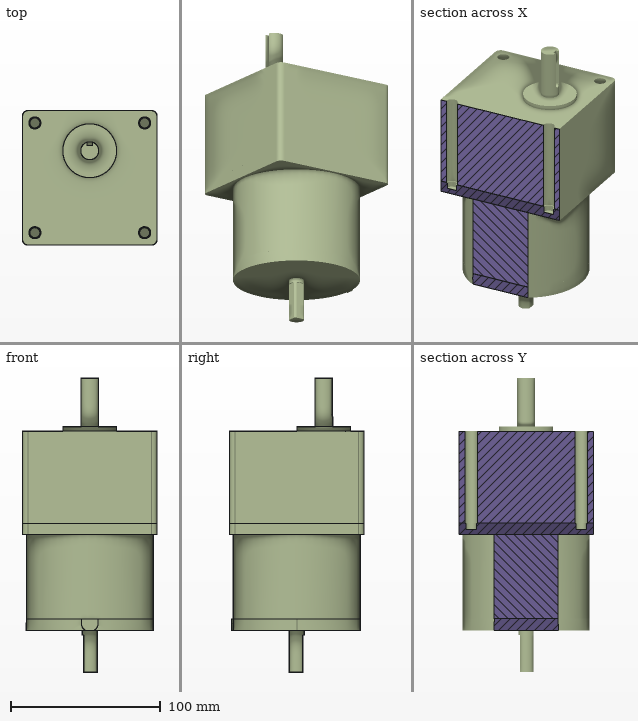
import cadquery as cq

total_height = 196.5
cap_bottom = 28.0
cap_height = 7.9
motor_height = 56.2
plate_height = 7.7
gearbox_height = 61.5
boss_height = 3.0
cap_top = cap_bottom + cap_height
plate_bottom = cap_top + motor_height
plate_top = plate_bottom + plate_height
gearbox_top = plate_top + gearbox_height
boss_top = gearbox_top + boss_height

gearbox_side = 90.0
corner_radius = 4.0
hole_spacing = 73.3
hole_diameter = 8.0
pilot_diameter = 6.7
pilot_depth = 4.0

output_offset = 18.0
boss_diameter = 36.0
output_diameter = 12.0
keyway_width = 4.0
keyway_depth = 2.5
keyway_start = 6.3

motor_diameter = 84.9
rear_shaft_diameter = 10.0
rear_collar_length = 3.0
flat_distance = 4.1
tab_width = 11.2
tab_reach = 43.5
tab_arc_height = 5.0


def cylinder(diameter, bottom, top, y=0):
    """Vertical cylinder between two heights."""
    return cq.Workplane("XY", origin=(0, y, bottom)).circle(diameter / 2).extrude(top - bottom)


def rounded_block(bottom, top):
    """Square block with rounded vertical edges."""
    block = cq.Workplane("XY", origin=(0, 0, bottom)).rect(gearbox_side, gearbox_side)
    return block.extrude(top - bottom).edges("|Z").fillet(corner_radius)


def corner_holes(diameter, bottom, top):
    """Four cylinders on the mounting hole pattern, for cutting."""
    corners = cq.Workplane("XY", origin=(0, 0, bottom)).rect(hole_spacing, hole_spacing, forConstruction=True)
    return corners.vertices().circle(diameter / 2).extrude(top - bottom)


def make_gearbox():
    """Gearbox with a boss, four mounting holes and a bore for the output shaft."""
    body = rounded_block(plate_top, gearbox_top)
    body = body.union(cylinder(boss_diameter, gearbox_top, boss_top, output_offset))
    holes = corner_holes(hole_diameter, plate_top, gearbox_top)
    bore = cylinder(output_diameter, plate_top, boss_top, output_offset)
    return body.cut(holes).cut(bore)


def make_output_shaft():
    """Output shaft with a keyway, rounded at its lower end and open at the top."""
    shaft = cylinder(output_diameter, plate_top, total_height, output_offset)
    half_width = keyway_width / 2
    arc_center = boss_top + keyway_start + half_width
    keyway_floor = output_offset + output_diameter / 2 - keyway_depth
    keyway = (
        cq.Workplane("XZ", origin=(0, keyway_floor, 0))
        .moveTo(-half_width, total_height)
        .lineTo(-half_width, arc_center)
        .threePointArc((0, arc_center - half_width), (half_width, arc_center))
        .lineTo(half_width, total_height)
        .close()
        .extrude(-output_diameter)
    )
    return shaft.cut(keyway)


def make_adapter_plate():
    """Plate under the gearbox with a blind pilot hole below each mounting hole."""
    pilots = corner_holes(pilot_diameter, plate_top - pilot_depth, plate_top)
    return rounded_block(plate_bottom, plate_top).cut(pilots)


def make_motor():
    """Motor can with a rear shaft that has flats on its -X and +Y sides."""
    can = cylinder(motor_diameter, cap_top, plate_bottom)
    shaft = cylinder(rear_shaft_diameter, 0, cap_top)
    flat_length = cap_bottom - rear_collar_length
    keep_size = 2 * rear_shaft_diameter
    flatted_zone = cq.Workplane("XY").rect(keep_size, keep_size).extrude(flat_length)
    kept_zone = (
        cq.Workplane("XY")
        .center(keep_size / 2 - flat_distance, flat_distance - keep_size / 2)
        .rect(keep_size, keep_size)
        .extrude(flat_length)
    )
    return can.union(shaft.cut(flatted_zone.cut(kept_zone)))


def make_end_cap():
    """End cap with a shaft bore and a round-bottomed tab on its -Y side."""
    cap = cylinder(motor_diameter, cap_bottom, cap_top)
    half_width = tab_width / 2
    arc_center = cap_bottom + tab_arc_height
    tab = (
        cq.Workplane("XZ")
        .moveTo(-half_width, cap_top)
        .lineTo(-half_width, arc_center)
        .threePointArc((0, arc_center - half_width), (half_width, arc_center))
        .lineTo(half_width, cap_top)
        .close()
        .extrude(tab_reach)
    )
    level_size = 3 * tab_reach
    level = cq.Workplane("XY", origin=(0, 0, cap_bottom)).rect(level_size, level_size).extrude(cap_height)
    bore = cylinder(rear_shaft_diameter, cap_bottom, cap_top)
    return cap.union(tab.intersect(level)).cut(bore)


gearbox = make_gearbox()
output_shaft = make_output_shaft()
adapter_plate = make_adapter_plate()
motor = make_motor()
end_cap = make_end_cap()

result = cq.Compound.makeCompound(
    [gearbox.val(), output_shaft.val(), adapter_plate.val(), motor.val(), end_cap.val()]
)